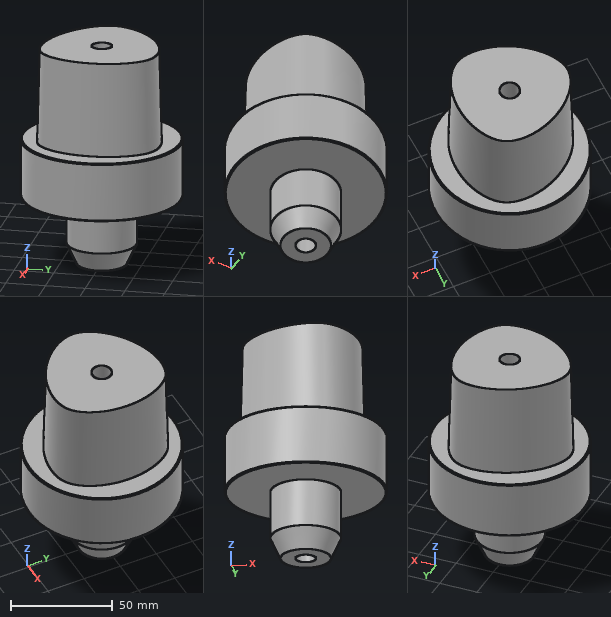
import cadquery as cq
import math

shank_diameter = 35.0
shank_length = 35.0
tip_diameter = 25.0
tip_half_angle = 25.0

flange_diameter = 80.0
flange_thickness = 30.0
flange_chamfer = 0.5

polygon_height = 48.0
polygon_base_width = 61.6
polygon_taper = 1 / 20
lobe_eccentricity = 2.0
polygon_curve_points = 72

bore_diameter = 10.0

tip_length = (shank_diameter - tip_diameter) / 2 / math.tan(math.radians(tip_half_angle))
flange_top = shank_length + flange_thickness
total_height = flange_top + polygon_height
polygon_top_width = polygon_base_width - polygon_taper * polygon_height


def make_shank():
    """Cylindrical shank with a conical tip, turned about Z."""
    outline = [
        (0, 0),
        (tip_diameter / 2, 0),
        (shank_diameter / 2, tip_length),
        (shank_diameter / 2, shank_length),
        (0, shank_length),
    ]
    return cq.Workplane("XZ").polyline(outline).close().revolve(360, (0, 0), (0, 1))


def make_flange():
    """Round flange with both rims chamfered."""
    flange = cq.Workplane("XY", origin=(0, 0, shank_length)).circle(flange_diameter / 2)
    return flange.extrude(flange_thickness).edges("%CIRCLE").chamfer(flange_chamfer)


def lobed_point(width, angle):
    """Point of a three-lobed curve of constant width, one lobe pointing to -X."""
    support = width / 2 + lobe_eccentricity * math.cos(3 * angle)
    support_slope = -3 * lobe_eccentricity * math.sin(3 * angle)
    x = support * math.cos(angle) - support_slope * math.sin(angle)
    y = support * math.sin(angle) + support_slope * math.cos(angle)
    return (-x, -y)


def lobed_wire(width, height):
    """Closed three-lobed section at the given height."""
    step = 2 * math.pi / polygon_curve_points
    points = [cq.Vector(*lobed_point(width, i * step), height) for i in range(polygon_curve_points)]
    return cq.Wire.assembleEdges([cq.Edge.makeSpline(points, periodic=True)])


def make_polygon_taper():
    """Tapered three-lobed polygon standing on the flange."""
    base = lobed_wire(polygon_base_width, flange_top)
    top = lobed_wire(polygon_top_width, total_height)
    return cq.Workplane(obj=cq.Solid.makeLoft([base, top], True))


def make_bore():
    """Central through bore."""
    return cq.Workplane("XY").circle(bore_diameter / 2).extrude(total_height)


result = make_shank().union(make_flange()).union(make_polygon_taper()).cut(make_bore())